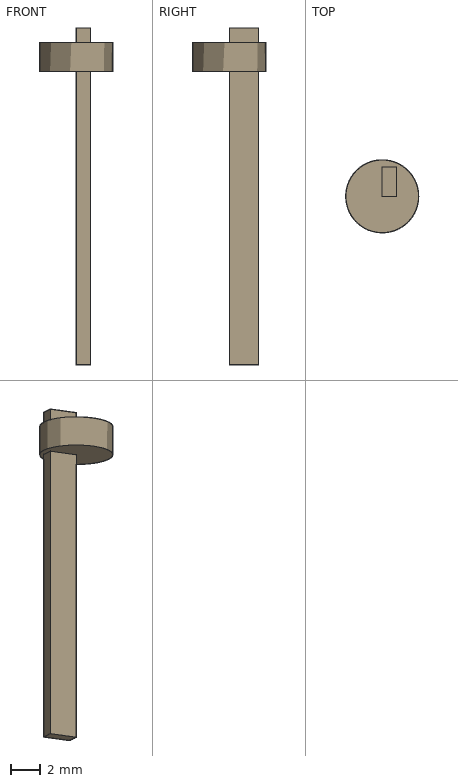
import cadquery as cq

blade_length = 23.0
blade_thickness = 1.0
blade_width = 2.0
collar_diameter = 5.0
collar_height = 2.0
tip_height = 1.0

collar_base = blade_length - tip_height - collar_height


def make_blade():
    """Rectangular bar with one long edge on the collar axis."""
    return cq.Workplane("XY").box(blade_thickness, blade_width, blade_length, centered=False)


def make_collar(blade):
    """Round collar with an off-centre slot that fits the blade."""
    disc = (
        cq.Workplane("XY")
        .workplane(offset=collar_base)
        .circle(collar_diameter / 2)
        .extrude(collar_height)
    )
    return disc.cut(blade)


blade = make_blade()
collar = make_collar(blade)

result = cq.Compound.makeCompound([blade.val(), collar.val()])